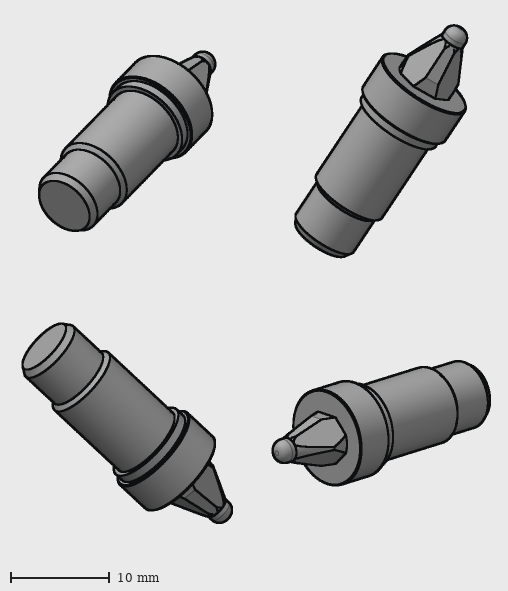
import cadquery as cq

total_length = 27.0
nose_length = 7.0
shank_end = nose_length - total_length

head_radius = 5.0
head_length = 4.0
head_chamfer = 0.1
flange_radius = 4.5
flange_length = 1.0
shank_radius = 4.0
step_y = -15.0
step_radius = 3.5
step_chamfer = shank_radius - step_radius
end_radius = 3.05
end_chamfer_length = 0.75

nose_radius = 2.97
nose_half_height = 2.48
cone_start_y = 1.75
height_bend_y = 1.45
facet_end_y = 5.43
tip_radius = 1.25
tip_fillet = 1.0
corner_facet_distance = 2.67


def turned_body():
    """Head, flange and stepped shank, revolved from one half profile."""
    head_back = -head_length
    flange_back = head_back - flange_length
    step_chamfer_start = step_y + step_chamfer
    profile = [
        (0, 0),
        (head_radius - head_chamfer, 0),
        (head_radius, -head_chamfer),
        (head_radius, head_back + head_chamfer),
        (head_radius - head_chamfer, head_back),
        (flange_radius, head_back),
        (flange_radius, flange_back),
        (shank_radius, flange_back),
        (shank_radius, step_chamfer_start),
        (step_radius, step_y),
        (step_radius, shank_end + end_chamfer_length),
        (end_radius, shank_end),
        (0, shank_end),
    ]
    return cq.Workplane("XY").polyline(profile).close().revolve(360, (0, 0), (0, 1))


def round_nose():
    """Cylinder followed by a cone that narrows to the round tip."""
    profile = [
        (0, 0),
        (nose_radius, 0),
        (nose_radius, cone_start_y),
        (tip_radius, facet_end_y),
        (0, facet_end_y),
    ]
    return cq.Workplane("XY").polyline(profile).close().revolve(360, (0, 0), (0, 1))


def tapered_slab():
    """Slab with full height up to the bend, then tapering to the tip above and below."""
    upper = [(nose_half_height, 0), (nose_half_height, height_bend_y), (tip_radius, facet_end_y)]
    lower = [(-height, along) for height, along in reversed(upper)]
    return cq.Workplane("ZY").polyline(upper + lower).close().extrude(2 * nose_radius, both=True)


def corner_pyramid():
    """Square pyramid turned 45 degrees, whose faces are the four diagonal facets."""
    pyramid = (
        cq.Workplane("XY")
        .rect(2 * corner_facet_distance, 2 * corner_facet_distance)
        .workplane(offset=facet_end_y)
        .rect(2 * tip_radius, 2 * tip_radius)
        .loft(ruled=True)
    )
    along_y = pyramid.rotate((0, 0, 0), (1, 0, 0), -90)
    return along_y.rotate((0, 0, 0), (0, 1, 0), 45)


def faceted_nose():
    """Round nose cut flat above and below and on its four diagonals."""
    return round_nose().intersect(tapered_slab()).intersect(corner_pyramid())


def round_tip():
    """Cylinder through the nose with a rounded front edge."""
    tip = cq.Workplane("XZ").circle(tip_radius).extrude(-nose_length)
    return tip.faces(">Y").edges().fillet(tip_fillet)


result = turned_body().union(faceted_nose()).union(round_tip())